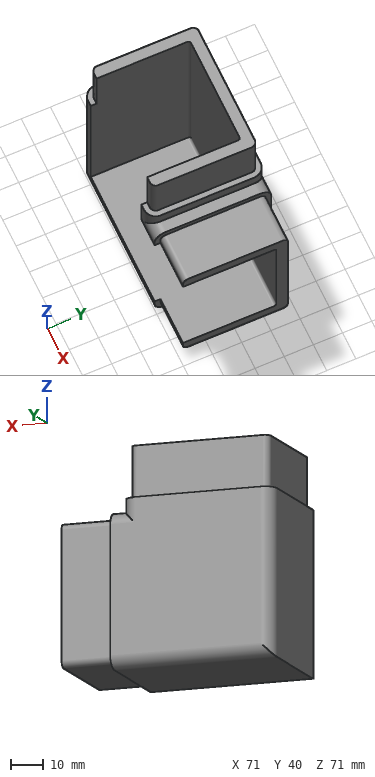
import cadquery as cq

overall = 71.0
leg_width = 50.0
depth = 40.0
sleeve_reach = 54.0
corner_radius = 4.0
plug_step = 2.0
wall = 5.95
cavity_radius = 1.0

centre = leg_width / 2


def elbow(profile, reach):
    """Sweep an XY profile down the Z leg and out along the X leg with a mitred corner."""
    path = cq.Workplane("XZ").polyline([(centre, reach), (centre, centre), (reach, centre)])
    return profile.sweep(path, transition="right")


def rounded_elbow(inset, reach):
    """Solid elbow with rounded long edges, inset evenly from the sleeve faces."""
    profile = (
        cq.Sketch()
        .rect(leg_width - 2 * inset, depth - 2 * inset)
        .vertices()
        .fillet(corner_radius - inset)
    )
    placed = cq.Workplane("XY", origin=(centre, 0, reach)).placeSketch(profile)
    return elbow(placed, reach)


def cavity():
    """Channel open to -Y, with its two back edges rounded."""
    profile = (
        cq.Sketch()
        .rect(leg_width - 2 * wall, depth - wall)
        .vertices(">Y")
        .fillet(cavity_radius)
    )
    placed = cq.Workplane("XY", origin=(centre, -wall / 2, overall)).placeSketch(profile)
    return elbow(placed, overall)


sleeve = rounded_elbow(0, sleeve_reach)
plugs = rounded_elbow(plug_step, overall)
result = sleeve.union(plugs).cut(cavity())